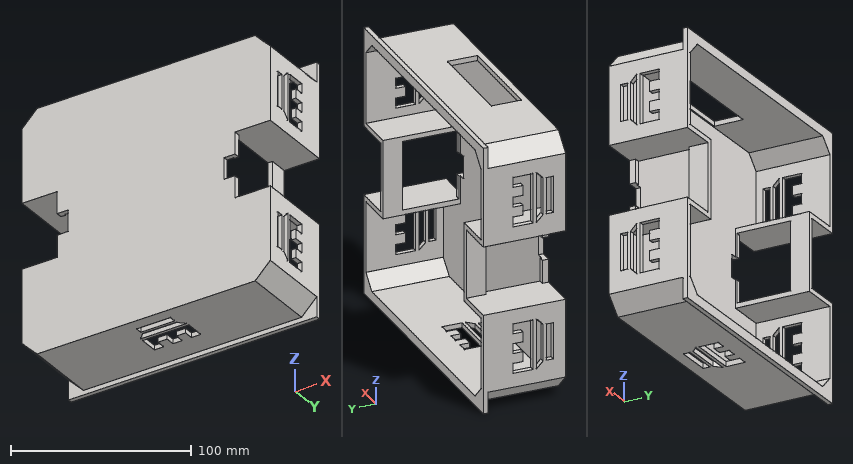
import cadquery as cq
import math

width = 164.5
flange_height = 164.5
depth = 50.0
wall = 3.1
flange_thickness = 3.0
flange_overhang = 3.0
corner_chamfer = 10.0

notch_depth = 23.4
notch_height = 42.3
notch_window_start = 4.0
notch_window_end = 38.0

latch_slot_depth = 7.2
latch_slot_height = 13.8

side_group_spacing = 90.6
bar_start = 7.5
bar_end = 11.8
bar_length = 22.4
trapezoid_start = 13.8
trapezoid_end = 17.8
trapezoid_length = 30.6
comb_start = 19.9
comb_tooth_tip = 26.0
comb_end = 31.9
comb_length = trapezoid_length
comb_pitch = comb_length / 5

top_window_length = 60.5
top_window_start = 4.0
top_window_end = 22.2

body_height = flange_height - 2 * flange_overhang
cavity_chamfer = corner_chamfer - wall * (2 - math.sqrt(2))


def block(x_range, y_range, z_range):
    """Axis-aligned block between the given limits."""
    (x0, x1), (y0, y1), (z0, z1) = x_range, y_range, z_range
    return cq.Workplane("XY").box(x1 - x0, y1 - y0, z1 - z0, centered=False).translate((x0, y0, z0))


def centred(length):
    """Limits of a length centred on zero."""
    return (-length / 2, length / 2)


def notches(bottom_x, height):
    """Blocks that fill both side notches from their bottoms at +/- bottom_x outwards."""
    left = block((-width / 2, -bottom_x), (0, depth), centred(height))
    return left.union(left.mirror("YZ"))


def chamfered_prism(size_x, size_z, chamfer, start_y):
    """Chamfered rectangle running from start_y to the back of the box."""
    prism = block(centred(size_x), (start_y, depth), centred(size_z))
    return prism.edges("|Y").chamfer(chamfer)


def shell():
    """Flanged hollow box with walls that follow the two side notches."""
    notch_bottom_x = width / 2 - notch_depth
    flange = block(centred(width), (depth - flange_thickness, depth), centred(flange_height))
    outside = chamfered_prism(width, body_height, corner_chamfer, 0).union(flange)
    outside = outside.cut(notches(notch_bottom_x, notch_height))
    cavity = chamfered_prism(width - 2 * wall, body_height - 2 * wall, cavity_chamfer, wall)
    cavity = cavity.cut(notches(notch_bottom_x - wall, notch_height + 2 * wall))
    return outside.cut(cavity)


def notch_openings():
    """Window in the bottom wall of each notch, and the latch slot in the front plate beside it."""
    outer_x = width / 2 - notch_depth
    window = block((outer_x - wall, outer_x), (notch_window_start, notch_window_end), centred(notch_height))
    slot = block((outer_x - latch_slot_depth, outer_x), (0, notch_window_start), centred(latch_slot_height))
    right = window.union(slot)
    return right.union(right.mirror("YZ"))


def opening_group():
    """Bar, trapezoid and comb cutters in the XY plane, centred on x = 0 and one wall thick upwards."""
    half_long = trapezoid_length / 2
    half_short = half_long - (trapezoid_end - trapezoid_start)
    bar = block(centred(bar_length), (bar_start, bar_end), (0, wall))
    trapezoid = (
        cq.Workplane("XY")
        .polyline([
            (-half_short, trapezoid_start),
            (half_short, trapezoid_start),
            (half_long, trapezoid_end),
            (-half_long, trapezoid_end),
        ])
        .close()
        .extrude(wall)
    )
    comb = block(centred(comb_length), (comb_start, comb_end), (0, wall))
    for side in (-1, 1):
        tooth = block(centred(comb_pitch), (comb_tooth_tip, comb_end), (0, wall))
        comb = comb.cut(tooth.translate((side * comb_pitch, 0, 0)))
    return bar.union(trapezoid).union(comb)


def side_openings():
    """Two opening groups in each X side wall."""
    upright = opening_group().rotate((0, 0, 0), (0, 1, 0), 90).translate((-width / 2, 0, 0))
    lower = upright.translate((0, 0, -side_group_spacing / 2))
    upper = upright.translate((0, 0, side_group_spacing / 2))
    left = lower.union(upper)
    return left.union(left.mirror("YZ"))


bottom_openings = opening_group().translate((0, 0, -body_height / 2))
top_window = block(
    centred(top_window_length),
    (top_window_start, top_window_end),
    (body_height / 2 - wall, body_height / 2),
)

result = shell().cut(notch_openings()).cut(side_openings()).cut(bottom_openings).cut(top_window)